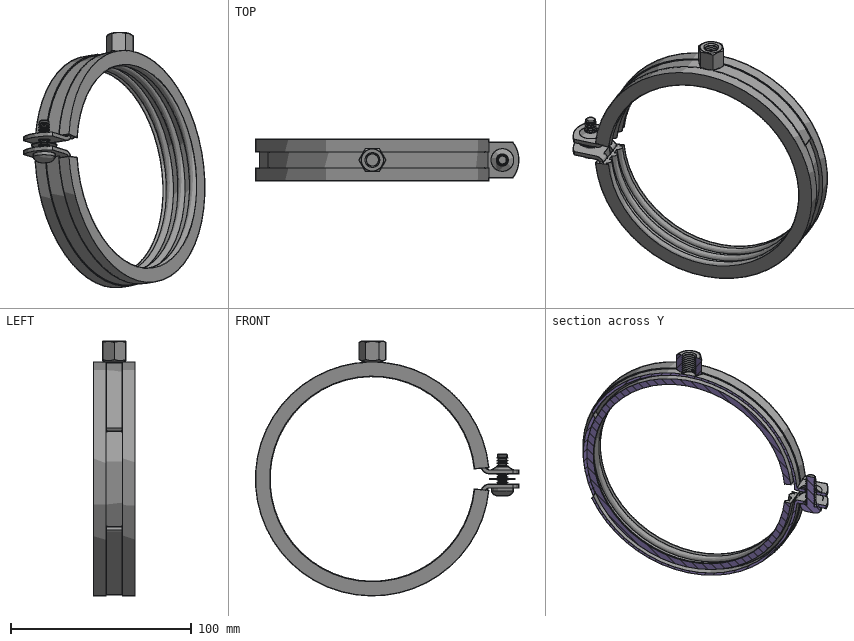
import cadquery as cq
import math


CUT_MARGIN = 2.9

BAND_WIDTH = 19.7
BAND_THICKNESS = 2.2
BAND_INNER_R = 60.7
BAND_OUTER_R = BAND_INNER_R + BAND_THICKNESS
BEAD_HEIGHT = 1.5
BEAD_OUTER_R = BAND_OUTER_R + BEAD_HEIGHT
BEAD_INNER_R = 62.6
BEAD_WIDTH = 8.8
BEAD_RECESS_WIDTH = 7.9
BEAD_END_Z = 28.2
BEAD_END_SLOPE = 62.0

EAR_GAP = 5.7
EAR_INNER_Z = EAR_GAP / 2
EAR_OUTER_Z = EAR_INNER_Z + BAND_THICKNESS
EAR_TIP_X = 81.3
EAR_SIDE_END_X = 77.9
BEND_INNER_R = 2.5
BEND_OUTER_R = BEND_INNER_R + BAND_THICKNESS
BEND_Z = EAR_OUTER_Z + BEND_INNER_R

LINER_WIDTH = 23.1
LINER_OUTER_R = 64.9
LINER_END_ANGLE = 5.6
CHANNEL_WIDTH = 9.0
GROOVE_R = 58.9
RIB_R = 2.2
RIB_SPACING = 7.9
LINER_EDGE_R = 57.0

NUT_TOP_Z = 76.5
NUT_FLATS = 13.0
NUT_CORNER_R = NUT_FLATS / math.sqrt(3)
NUT_CHAMFER_R = 6.1
NUT_BASE_R = 5.3
NUT_STUB_R = 4.4
NUT_BORE_R = 3.4
NUT_THREAD_R = 4.1
NUT_THREAD_PITCH = 1.3
NUT_GROOVE_HALF_WIDTH = 0.6
NUT_CHAMFER_SLOPE = math.tan(math.radians(30))

SCREW_X = 72.1
SCREW_TIP_Z = 13.9
SCREW_CORE_R = 2.2
SCREW_CREST_R = 3.0
SCREW_TIP_R = 2.8
SCREW_TIP_LENGTH = 1.6
THREAD_TOP_Z = 11.7
THREAD_LENGTH = 15.2
THREAD_COUNT = 11
THREAD_PITCH = THREAD_LENGTH / (THREAD_COUNT - 1)
THREAD_BASE = 0.9
HEAD_R = 6.1
HEAD_RIM = 1.8
HEAD_HEIGHT = 4.4
HEAD_FLAT_R = 2.0
HEAD_DOME_MID = (5.0, -8.5)
EAR_HOLE_R = 3.2
WASHER_R = 7.0
WASHER_THICKNESS = 0.5
COLLAR_BASE_R = 6.3
COLLAR_TOP_R = 3.4
COLLAR_HEIGHT = 1.8
COLLAR_MID_R = 4.8
COLLAR_MID_HEIGHT = 0.7


def turned(profile):
    """Close a profile and turn it fully about the vertical axis of its sketch plane."""
    return profile.close().revolve(360, (0, 0, 0), (0, 1, 0))


def ring(inner_r, outer_r, width):
    """Plain ring about Y, centred on Y = 0."""
    half = width / 2
    points = [(inner_r, -half), (outer_r, -half), (outer_r, half), (inner_r, half)]
    return turned(cq.Workplane("XY").polyline(points))


def wedge(half_angle, apex_x, end_x):
    """Triangular prism along Y, symmetric about Z = 0, that opens from apex_x towards end_x."""
    z = abs(end_x - apex_x) * math.tan(math.radians(half_angle))
    points = [(apex_x, 0), (end_x, z), (end_x, -z)]
    return cq.Workplane("XZ").polyline(points).close().extrude(LINER_WIDTH, both=True)


def upper_ear():
    """Bend and flat ear above the gap, with its screw hole."""
    bend_inner_x = math.sqrt(BAND_INNER_R**2 - BEND_Z**2)
    bend_x = bend_inner_x + BEND_OUTER_R
    diagonal = math.sqrt(0.5)
    side = (
        cq.Workplane("XZ")
        .moveTo(bend_inner_x, BEND_Z)
        .threePointArc(
            (bend_x - BEND_OUTER_R * diagonal, BEND_Z - BEND_OUTER_R * diagonal),
            (bend_x, EAR_INNER_Z),
        )
        .lineTo(EAR_TIP_X, EAR_INNER_Z)
        .lineTo(EAR_TIP_X, EAR_OUTER_Z)
        .lineTo(bend_x, EAR_OUTER_Z)
        .threePointArc(
            (bend_x - BEND_INNER_R * diagonal, BEND_Z - BEND_INNER_R * diagonal),
            (bend_x - BEND_INNER_R, BEND_Z),
        )
        .close()
        .extrude(BAND_WIDTH / 2, both=True)
    )
    outline = (
        cq.Workplane("XY")
        .moveTo(BAND_INNER_R - CUT_MARGIN, -BAND_WIDTH / 2)
        .lineTo(EAR_SIDE_END_X, -BAND_WIDTH / 2)
        .threePointArc((EAR_TIP_X, 0), (EAR_SIDE_END_X, BAND_WIDTH / 2))
        .lineTo(BAND_INNER_R - CUT_MARGIN, BAND_WIDTH / 2)
        .close()
        .extrude(BEND_Z)
    )
    hole = cq.Workplane("XY").center(SCREW_X, 0).circle(EAR_HOLE_R).extrude(EAR_OUTER_Z)
    return side.intersect(outline).cut(hole)


def make_band():
    """Open strip with ears and an embossed bead that stops short of the flexible stretch."""
    opening = math.degrees(math.asin(BEND_Z / BAND_INNER_R))
    strip = ring(BAND_INNER_R, BAND_OUTER_R, BAND_WIDTH).cut(wedge(opening, 0, EAR_TIP_X))
    bead_end_x = -math.sqrt(BEAD_OUTER_R**2 - BEAD_END_Z**2)
    flex_apex_x = bead_end_x + BEAD_END_Z / math.tan(math.radians(BEAD_END_SLOPE))
    flex_zone = wedge(BEAD_END_SLOPE, flex_apex_x, -EAR_TIP_X)
    ear_middle_z = (EAR_INNER_Z + EAR_OUTER_Z) / 2
    gap = cq.Workplane("XY").box(2 * EAR_TIP_X, BAND_WIDTH, 2 * ear_middle_z).translate((EAR_TIP_X, 0, 0))
    bead = ring(BEAD_INNER_R, BEAD_OUTER_R, BEAD_WIDTH).cut(flex_zone).cut(gap)
    recess = ring(BAND_INNER_R - CUT_MARGIN, BEAD_INNER_R, BEAD_RECESS_WIDTH).cut(flex_zone)
    ear = upper_ear()
    return strip.union(ear).union(ear.mirror("XY")).union(bead).cut(recess)


def make_liner(band):
    """Open ring with three inner ribs and an outer channel, hollowed to hold the band."""
    half = LINER_WIDTH / 2
    lip = CHANNEL_WIDTH / 2
    profile = cq.Workplane("XY").moveTo(LINER_EDGE_R, -half)
    for rib_y in (-RIB_SPACING, 0, RIB_SPACING):
        profile = (
            profile.lineTo(GROOVE_R, rib_y - RIB_R)
            .threePointArc((GROOVE_R - RIB_R, rib_y), (GROOVE_R, rib_y + RIB_R))
        )
    profile = (
        profile.lineTo(LINER_EDGE_R, half)
        .lineTo(LINER_OUTER_R, half)
        .lineTo(LINER_OUTER_R, lip)
        .lineTo(BAND_INNER_R, lip)
        .lineTo(BAND_INNER_R, -lip)
        .lineTo(LINER_OUTER_R, -lip)
        .lineTo(LINER_OUTER_R, -half)
    )
    return turned(profile).cut(wedge(LINER_END_ANGLE, 0, EAR_TIP_X)).cut(band)


def make_nut():
    """Chamfered hexagon nut whose round foot is shaped to sit on the bead."""
    hexagon = (
        cq.Workplane("XY").workplane(offset=BAND_OUTER_R)
        .polygon(6, 2 * NUT_CORNER_R).extrude(NUT_TOP_Z - BAND_OUTER_R)
    )
    rim_r = NUT_CORNER_R + CUT_MARGIN
    top_drop = (rim_r - NUT_CHAMFER_R) * NUT_CHAMFER_SLOPE
    base_rise = (rim_r - NUT_BASE_R) * NUT_CHAMFER_SLOPE
    envelope = turned(
        cq.Workplane("XZ").polyline([
            (0, BAND_OUTER_R), (NUT_STUB_R, BAND_OUTER_R), (NUT_STUB_R, LINER_OUTER_R),
            (NUT_BASE_R, LINER_OUTER_R), (rim_r, LINER_OUTER_R + base_rise),
            (rim_r, NUT_TOP_Z - top_drop), (NUT_CHAMFER_R, NUT_TOP_Z), (0, NUT_TOP_Z),
        ])
    )
    bore_points = [(0, BAND_OUTER_R), (NUT_BORE_R, BAND_OUTER_R)]
    thread_depth = NUT_THREAD_R - NUT_BORE_R
    groove_count = int((NUT_TOP_Z - thread_depth - LINER_OUTER_R) / NUT_THREAD_PITCH)
    for i in range(groove_count):
        z = LINER_OUTER_R + (i + 0.5) * NUT_THREAD_PITCH
        bore_points += [
            (NUT_BORE_R, z - NUT_GROOVE_HALF_WIDTH),
            (NUT_THREAD_R, z),
            (NUT_BORE_R, z + NUT_GROOVE_HALF_WIDTH),
        ]
    bore_points += [(NUT_BORE_R, NUT_TOP_Z - thread_depth), (NUT_THREAD_R, NUT_TOP_Z), (0, NUT_TOP_Z)]
    bore = turned(cq.Workplane("XZ").polyline(bore_points))
    seat = ring(BAND_INNER_R, BEAD_OUTER_R, BAND_WIDTH)
    return hexagon.intersect(envelope).cut(bore).cut(seat)


def turned_on_screw_axis(profile):
    return turned(profile).translate((SCREW_X, 0, 0))


def make_screw():
    """Dome-headed screw with its thread as a stack of ridges; the head bears on the lower ear."""
    head_top = -EAR_OUTER_Z
    rim_z = head_top - HEAD_RIM
    head_bottom = head_top - HEAD_HEIGHT
    profile = (
        cq.Workplane("XZ")
        .moveTo(0, head_bottom)
        .lineTo(HEAD_FLAT_R, head_bottom)
        .threePointArc(HEAD_DOME_MID, (HEAD_R, rim_z))
        .lineTo(HEAD_R, head_top)
        .lineTo(SCREW_CORE_R, head_top)
    )
    for i in reversed(range(THREAD_COUNT)):
        z = THREAD_TOP_Z - i * THREAD_PITCH
        profile = (
            profile.lineTo(SCREW_CORE_R, z - THREAD_BASE / 2)
            .lineTo(SCREW_CREST_R, z)
            .lineTo(SCREW_CORE_R, z + THREAD_BASE / 2)
        )
    tip_start = SCREW_TIP_Z - SCREW_TIP_LENGTH
    profile = (
        profile.lineTo(SCREW_CORE_R, tip_start)
        .lineTo(SCREW_TIP_R, tip_start)
        .lineTo(SCREW_TIP_R, SCREW_TIP_Z - (SCREW_TIP_R - SCREW_CORE_R))
        .lineTo(SCREW_CORE_R, SCREW_TIP_Z)
        .lineTo(0, SCREW_TIP_Z)
    )
    return turned_on_screw_axis(profile)


def make_washer():
    """Thin retaining washer halfway between the ears."""
    half = WASHER_THICKNESS / 2
    return turned_on_screw_axis(
        cq.Workplane("XZ").polyline([
            (SCREW_CREST_R, -half), (WASHER_R, -half), (WASHER_R, half), (SCREW_CREST_R, half),
        ])
    )


def make_collar():
    """Flared collar on the upper ear, around the screw."""
    top = EAR_OUTER_Z + COLLAR_HEIGHT
    return turned_on_screw_axis(
        cq.Workplane("XZ")
        .moveTo(EAR_HOLE_R, EAR_OUTER_Z)
        .lineTo(COLLAR_BASE_R, EAR_OUTER_Z)
        .threePointArc((COLLAR_MID_R, EAR_OUTER_Z + COLLAR_MID_HEIGHT), (COLLAR_TOP_R, top))
        .lineTo(EAR_HOLE_R, top)
    )


band = make_band()
liner = make_liner(band)
nut = make_nut()
screw = make_screw()
washer = make_washer()
collar = make_collar()

result = cq.Compound.makeCompound(
    [band.val(), liner.val(), nut.val(), screw.val(), washer.val(), collar.val()]
)